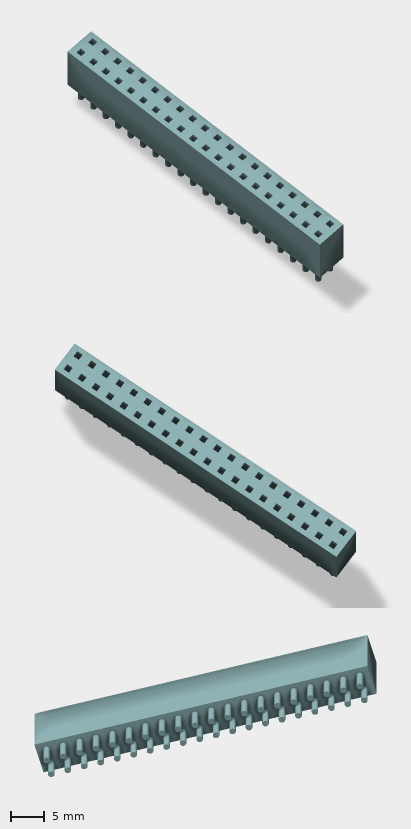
import cadquery as cq

body_length = 51.3
body_width = 5.1
body_height = 8.5
overall_height = 11.6

columns = 20
rows = 2
pitch = body_width / rows

pin_diameter = 1.0
pin_length = overall_height - body_height
socket_side = 1.0
socket_depth = body_height / 2

housing = cq.Workplane("XY").box(body_length, body_width, body_height, centered=(True, True, False))

sockets = (
    cq.Workplane("XY", origin=(0, 0, body_height))
    .rarray(pitch, pitch, columns, rows)
    .rect(socket_side, socket_side)
    .extrude(-socket_depth)
)

pins = (
    cq.Workplane("XY")
    .rarray(pitch, pitch, columns, rows)
    .circle(pin_diameter / 2)
    .extrude(-pin_length)
)

result = housing.cut(sockets).union(pins)